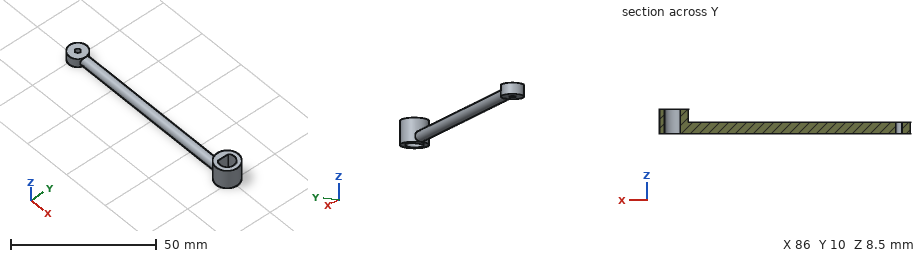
import cadquery as cq

center_distance = 77.0
hub_diameter = 10.0
hub_height = 8.5
eye_diameter = 8.0
eye_hole_diameter = 2.11
rod_diameter = 4.0
bore_diameter = 6.4
bore_flat_offset = 2.1

eye_height = rod_diameter


def upright_cylinder(x, diameter, height):
    """Cylinder standing on Z = 0 with its axis at the given X."""
    return cq.Workplane("XY").center(x, 0).circle(diameter / 2).extrude(height)


def rod():
    """Round bar along X from the eye axis to the hub axis, resting on Z = 0."""
    return (
        cq.Workplane("YZ")
        .center(0, rod_diameter / 2)
        .circle(rod_diameter / 2)
        .extrude(center_distance)
    )


def d_bore():
    """D-shaped cutter through the hub, with its flat on the side of the rod."""
    flat_x = center_distance - bore_flat_offset
    round_bore = upright_cylinder(center_distance, bore_diameter, hub_height)
    beyond_flat = cq.Workplane("XY").box(
        bore_diameter, bore_diameter, hub_height, centered=(False, True, False)
    ).translate((flat_x, 0, 0))
    return round_bore.intersect(beyond_flat)


eye = upright_cylinder(0, eye_diameter, eye_height)
hub = upright_cylinder(center_distance, hub_diameter, hub_height)
eye_hole = upright_cylinder(0, eye_hole_diameter, eye_height)

result = eye.union(rod()).union(hub).cut(eye_hole).cut(d_bore())